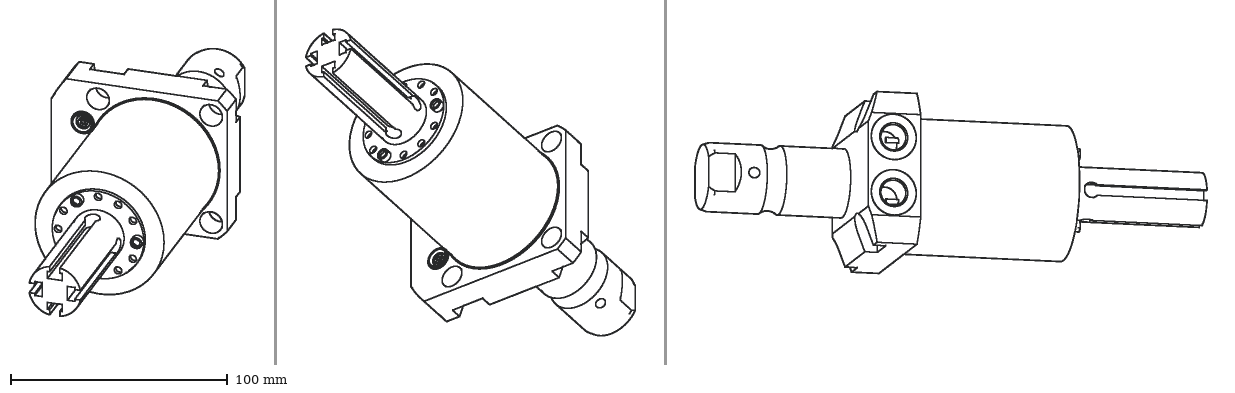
import cadquery as cq
import math


OVERALL_LENGTH = 237

FLANGE_WIDTH = 85.5
FLANGE_HEIGHT = 71.0
FLANGE_THICK = 25.0
FLANGE_HALF = FLANGE_HEIGHT / 2
FLANGE_LEFT = 50.3
FLANGE_RIGHT = FLANGE_WIDTH - FLANGE_LEFT
PORT_CORNER_RADIUS = 55.7
PLAIN_CORNER_RADIUS = 47.0
BEVEL_DEPTH = 6.0
BEVEL_WIDTH = 15.5

MOUNT_OFFSET = 27.5
MOUNT_RADIUS = 5.5
MOUNT_SEAT_RADIUS = 8.3
MOUNT_SEAT_Y = 13.0

PORT_Y = 12.8
PORT_Z = 13.0
PORT_RADIUS = 6.0
PORT_MOUTH_RADIUS = 6.6
PORT_DEPTH = 18.3
SPOTFACE_RADIUS = 10.7
SPOTFACE_DEPTH = 0.2

COLLAR_RADIUS = 63.8 / 2
COLLAR_HEIGHT = 0.7
BARREL_RADIUS = 62.8 / 2
BARREL_LENGTH = 80.1
PLATE_RADIUS = 22.3
PLATE_THICK = 2.1
BOLT_CIRCLE_RADIUS = 19.5
BOLT_COUNT = 12
SCREW_EVERY = 4
PLATE_HOLE_RADIUS = 1.78
PLATE_HOLE_DEPTH = 2.1
SCREW_RADIUS = 5.5 / 2
SCREW_HEIGHT = 2.8
SCREW_HEX = 4.3
SCREW_HEX_DEPTH = 1.5

SHAFT_END_Y = -145.3
SHAFT_RADIUS = 25.4 / 2
SLOT_COUNT = 4
SLOT_MOUTH = 5.0
SLOT_UNDERCUT = 7.0
SLOT_FLOOR = 6.2
SLOT_STEP = 9.7
KEYHOLE_Y = -90.5

ROD_RADIUS = 32.0 / 2
ROD_END_Y = SHAFT_END_Y + OVERALL_LENGTH
ROD_CHAMFER_LENGTH = 3.0
ROD_CHAMFER_DEPTH = 1.0
GROOVE_START_Y = 55.2
GROOVE_END_Y = 64.5
GROOVE_DEPTH = 1.7
FLAT_OFFSET = 13.3
FLAT_LENGTH = 12.5
FLAT_RUNOUT = 2.4
DIMPLE_Y = 70.7
DIMPLE_RADIUS = 2.5
DIMPLE_DEPTH = 2.5
DIMPLE_ANGLES = (60, 180, 300)

VALVE_X = -34.9
VALVE_Z = 14.5
VALVE_RADIUS = 5.5
VALVE_DEPTH = 4.7
VALVE_HEAD = 1.2
VALVE_CHAMFER = 0.35
VALVE_RECESS_RADIUS = 3.3
VALVE_RECESS_MOUTH_RADIUS = 4.5
VALVE_RECESS_DEPTH = 2.4
VALVE_CORE_RADIUS = 2.1
VALVE_CORE_HEIGHT = 1.5
VALVE_HEX = 2.4
NEEDLE_RADIUS = 1.2

PLATE_Y = -BARREL_LENGTH - PLATE_THICK


def bar_y(radius, start_y, end_y, x=0.0, z=0.0):
    """Round bar parallel to Y."""
    return cq.Workplane("XZ", origin=(x, end_y, z)).circle(radius).extrude(end_y - start_y)


def cone(start_radius, end_radius, length, start, direction):
    """Cone or cone frustum from a start point along a direction."""
    solid = cq.Solid.makeCone(start_radius, end_radius, length, cq.Vector(start), cq.Vector(direction))
    return cq.Workplane(solid)


def hex_y(across_corners, start_y, end_y, x, z):
    """Hexagonal bar parallel to Y with corners pointing along Z."""
    bar = cq.Workplane("XZ", origin=(x, end_y, z)).polygon(6, across_corners).extrude(end_y - start_y)
    return bar.rotate((x, 0, z), (x, 1, z), 90)


def block(start, end):
    """Box between two opposite corners."""
    size = [b - a for a, b in zip(start, end)]
    return cq.Workplane("XY").box(*size, centered=False).translate(start)


def edge_bevel(reach, angle):
    """Wedge that slopes the back edge of the side at this reach, +X for angle 0."""
    inner = reach - BEVEL_WIDTH
    overshoot = 2.0
    wedge = (
        cq.Workplane("XY", origin=(0, 0, -FLANGE_WIDTH))
        .moveTo(inner, FLANGE_THICK)
        .lineTo(inner + BEVEL_WIDTH * overshoot, FLANGE_THICK - BEVEL_DEPTH * overshoot)
        .lineTo(inner + BEVEL_WIDTH * overshoot, FLANGE_THICK)
        .close()
        .extrude(2 * FLANGE_WIDTH)
    )
    return wedge.rotate((0, 0, 0), (0, 1, 0), angle)


def mount_seat(x, z):
    """Bolt head seat in the flange back, open to the nearest flange sides."""
    up = math.copysign(1, z)
    depth = FLANGE_THICK - MOUNT_SEAT_Y
    outer_z = z + up * FLANGE_HALF
    seat = bar_y(MOUNT_SEAT_RADIUS, MOUNT_SEAT_Y, FLANGE_THICK, x, z)
    opening = cq.Workplane("XY").box(2 * MOUNT_SEAT_RADIUS, depth, FLANGE_HALF)
    mid_y = MOUNT_SEAT_Y + depth / 2
    seat = seat.union(opening.translate((x, mid_y, (z + outer_z) / 2)))
    if x > 0:
        side = cq.Workplane("XY").box(FLANGE_HALF, depth, FLANGE_HALF + MOUNT_SEAT_RADIUS)
        side_z = z + up * (FLANGE_HALF - MOUNT_SEAT_RADIUS) / 2
        seat = seat.union(side.translate((x + FLANGE_HALF / 2, mid_y, side_z)))
    return seat


def make_flange():
    port_half = block((-FLANGE_LEFT, 0, -FLANGE_HALF), (0, FLANGE_THICK, FLANGE_HALF))
    port_half = port_half.intersect(bar_y(PORT_CORNER_RADIUS, 0, FLANGE_THICK))
    plain_half = block((0, 0, -FLANGE_HALF), (FLANGE_RIGHT, FLANGE_THICK, FLANGE_HALF))
    plain_half = plain_half.intersect(bar_y(PLAIN_CORNER_RADIUS, 0, FLANGE_THICK))
    flange = port_half.union(plain_half)
    for reach, angle in ((FLANGE_RIGHT, 0), (FLANGE_HALF, 90), (FLANGE_HALF, -90)):
        flange = flange.cut(edge_bevel(reach, angle))
    for x in (-MOUNT_OFFSET, MOUNT_OFFSET):
        for z in (-MOUNT_OFFSET, MOUNT_OFFSET):
            flange = flange.cut(bar_y(MOUNT_RADIUS, 0, FLANGE_THICK, x, z))
            flange = flange.cut(mount_seat(x, z))
    return flange


def port(z):
    """Port with a chamfered mouth and a shallow spot face, cut in from the -X side."""
    face = cq.Workplane("YZ", origin=(-FLANGE_LEFT, PORT_Y, z))
    bore = face.circle(PORT_RADIUS).extrude(PORT_DEPTH)
    spotface = face.circle(SPOTFACE_RADIUS).extrude(SPOTFACE_DEPTH)
    chamfer = PORT_MOUTH_RADIUS - PORT_RADIUS
    seat_center = (-FLANGE_LEFT + SPOTFACE_DEPTH, PORT_Y, z)
    mouth = cone(PORT_MOUTH_RADIUS, PORT_RADIUS, chamfer, seat_center, (1, 0, 0))
    return bore.union(spotface).union(mouth)


def make_barrel():
    barrel = bar_y(BARREL_RADIUS, -BARREL_LENGTH, 0)
    barrel = barrel.union(bar_y(COLLAR_RADIUS, -COLLAR_HEIGHT, 0))
    barrel = barrel.union(bar_y(PLATE_RADIUS, PLATE_Y, -BARREL_LENGTH))
    for i in range(BOLT_COUNT):
        angle = 2 * math.pi * i / BOLT_COUNT
        x = BOLT_CIRCLE_RADIUS * math.cos(angle)
        z = BOLT_CIRCLE_RADIUS * math.sin(angle)
        if i % SCREW_EVERY == 0:
            head_y = PLATE_Y - SCREW_HEIGHT
            barrel = barrel.union(bar_y(SCREW_RADIUS, head_y, PLATE_Y, x, z))
            barrel = barrel.cut(hex_y(SCREW_HEX, head_y, head_y + SCREW_HEX_DEPTH, x, z))
        else:
            barrel = barrel.cut(bar_y(PLATE_HOLE_RADIUS, PLATE_Y, PLATE_Y + PLATE_HOLE_DEPTH, x, z))
    return barrel


def shaft_slot():
    """T-shaped slot on the +Z side that ends in a round keyhole."""
    top = SHAFT_RADIUS
    undercut = block(
        (-SLOT_UNDERCUT / 2, SHAFT_END_Y, SLOT_FLOOR), (SLOT_UNDERCUT / 2, KEYHOLE_Y, SLOT_STEP)
    )
    mouth = block((-SLOT_MOUTH / 2, SHAFT_END_Y, SLOT_FLOOR), (SLOT_MOUTH / 2, KEYHOLE_Y, top))
    keyhole = (
        cq.Workplane("XY", origin=(0, KEYHOLE_Y, SLOT_FLOOR))
        .circle(SLOT_UNDERCUT / 2)
        .extrude(top - SLOT_FLOOR)
    )
    return undercut.union(mouth).union(keyhole)


def make_shaft():
    shaft = bar_y(SHAFT_RADIUS, SHAFT_END_Y, PLATE_Y)
    for i in range(SLOT_COUNT):
        shaft = shaft.cut(shaft_slot().rotate((0, 0, 0), (0, 1, 0), 360 * i / SLOT_COUNT))
    return shaft


def rod_flat():
    """Cutter for one wrench flat on the +X side, with a sloped run-out."""
    start_y = ROD_END_Y - FLAT_LENGTH
    return (
        cq.Workplane("XY", origin=(0, 0, -ROD_RADIUS))
        .moveTo(FLAT_OFFSET, ROD_END_Y)
        .lineTo(FLAT_OFFSET, start_y)
        .lineTo(ROD_RADIUS, start_y - FLAT_RUNOUT)
        .lineTo(ROD_RADIUS, ROD_END_Y)
        .close()
        .extrude(2 * ROD_RADIUS)
    )


def make_rod():
    rod = (
        cq.Workplane("XY")
        .moveTo(0, FLANGE_THICK)
        .lineTo(ROD_RADIUS, FLANGE_THICK)
        .lineTo(ROD_RADIUS, GROOVE_START_Y)
        .threePointArc(
            (ROD_RADIUS - GROOVE_DEPTH, (GROOVE_START_Y + GROOVE_END_Y) / 2),
            (ROD_RADIUS, GROOVE_END_Y),
        )
        .lineTo(ROD_RADIUS, ROD_END_Y - ROD_CHAMFER_LENGTH)
        .lineTo(ROD_RADIUS - ROD_CHAMFER_DEPTH, ROD_END_Y)
        .lineTo(0, ROD_END_Y)
        .close()
        .revolve(360, (0, 0, 0), (0, 1, 0))
    )
    for angle in (0, 180):
        rod = rod.cut(rod_flat().rotate((0, 0, 0), (0, 1, 0), angle))
    dimple = cone(DIMPLE_RADIUS, 0, DIMPLE_DEPTH, (ROD_RADIUS, DIMPLE_Y, 0), (-1, 0, 0))
    for angle in DIMPLE_ANGLES:
        rod = rod.cut(dimple.rotate((0, 0, 0), (0, 1, 0), angle))
    return rod


def valve_blank(z, head):
    """Outer shape of a valve without its head details, also used for its bore."""
    body = bar_y(VALVE_RADIUS, -head, VALVE_DEPTH, VALVE_X, z)
    return body.union(bar_y(NEEDLE_RADIUS, VALVE_DEPTH, PORT_Y, VALVE_X, z))


def make_valve(z):
    """Flow control valve: chamfered head, recess with a hex core, and a needle into the port."""
    face_y = -VALVE_HEAD
    floor_y = face_y + VALVE_RECESS_DEPTH
    core_y = floor_y - VALVE_CORE_HEIGHT
    valve = valve_blank(z, VALVE_HEAD)
    valve = valve.faces("<Y").chamfer(VALVE_CHAMFER)
    valve = valve.cut(bar_y(VALVE_RECESS_RADIUS, face_y, floor_y, VALVE_X, z))
    mouth_depth = VALVE_RECESS_MOUTH_RADIUS - VALVE_RECESS_RADIUS
    face_center = (VALVE_X, face_y, z)
    valve = valve.cut(
        cone(VALVE_RECESS_MOUTH_RADIUS, VALVE_RECESS_RADIUS, mouth_depth, face_center, (0, 1, 0))
    )
    valve = valve.union(bar_y(VALVE_CORE_RADIUS, core_y, floor_y, VALVE_X, z))
    return valve.cut(hex_y(VALVE_HEX, core_y, floor_y, VALVE_X, z))


def make_housing():
    housing = make_flange().union(make_barrel()).union(make_shaft()).union(make_rod())
    for side in (-1, 1):
        housing = housing.cut(port(side * PORT_Z))
        housing = housing.cut(valve_blank(side * VALVE_Z, 0))
    return housing


housing = make_housing()
valves = [make_valve(side * VALVE_Z) for side in (-1, 1)]

result = cq.Compound.makeCompound([housing.val(), *[valve.val() for valve in valves]])